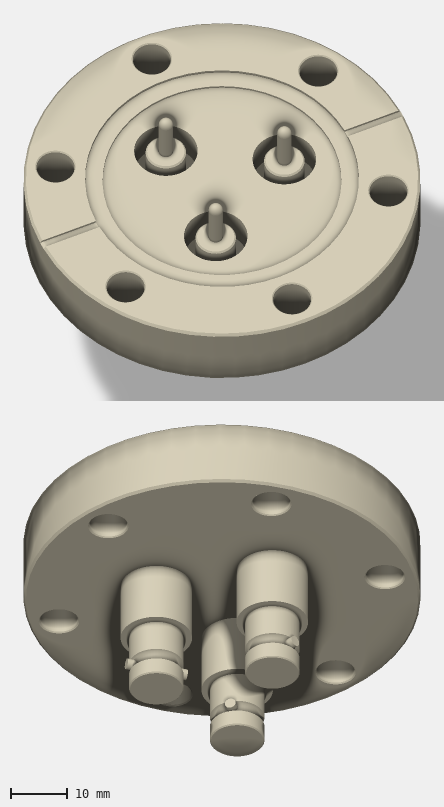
import cadquery as cq


FLANGE_DIAMETER = 69.85
FLANGE_THICKNESS = 12.65
FLANGE_EDGE_CHAMFER = 0.4
RECESS_DIAMETER = 48.2
RECESS_DEPTH = 0.55
FLOOR_DIAMETER = 42.05
FLOOR_STEP = 0.4
FLOOR_DEPTH = RECESS_DEPTH + FLOOR_STEP

BOLT_COUNT = 6
BOLT_CIRCLE_RADIUS = 29.4
BOLT_HOLE_DIAMETER = 6.7
BOLT_HOLE_CHAMFER = 0.2

LEAK_GROOVE_WIDTH = 1.5
LEAK_GROOVE_DEPTH = 0.4

CONNECTOR_COUNT = 3
CONNECTOR_CIRCLE_RADIUS = 12.1
FIRST_CONNECTOR_ANGLE = 90.0

SLEEVE_DIAMETER = 12.6
SLEEVE_LENGTH = 11.2
BARREL_DIAMETER = 9.65
BARREL_LENGTH = 11.1
BARREL_END_CHAMFER = 0.2
BARREL_GROOVE_WIDTH = 2.1
BARREL_GROOVE_DEPTH = 0.8
GROOVE_TO_BARREL_END = 3.1
LUG_DIAMETER = 1.95
LUG_RISE = 0.15
LUG_SPAN = 11.05
SLEEVE_END_Z = -FLANGE_THICKNESS - SLEEVE_LENGTH
BARREL_END_Z = SLEEVE_END_Z - BARREL_LENGTH
GROOVE_CENTRE_Z = BARREL_END_Z + GROOVE_TO_BARREL_END + BARREL_GROOVE_WIDTH / 2
LUG_Z = GROOVE_CENTRE_Z + LUG_RISE

CAVITY_DIAMETER = 11.2
CAVITY_STRAIGHT_DEPTH = 6.3
CAVITY_FLOOR_DIAMETER = 7.8
CAVITY_CONE_HEIGHT = 1.0
INSULATOR_DIAMETER = 7.1
INSULATOR_CHAMFER = 0.3
INSULATOR_DROP = 0.2
PIN_DIAMETER = 2.5
PIN_HEIGHT = 7.75
INSULATOR_TOP_Z = -FLOOR_DEPTH - INSULATOR_DROP
CONE_TOP_Z = -FLOOR_DEPTH - CAVITY_STRAIGHT_DEPTH
CAVITY_FLOOR_Z = CONE_TOP_Z - CAVITY_CONE_HEIGHT


def cylinder(diameter, bottom_z, top_z):
    """Vertical cylinder on the Z axis."""
    return cq.Workplane("XY").workplane(offset=bottom_z).circle(diameter / 2).extrude(top_z - bottom_z)


def revolved(profile):
    """Turn an (r, z) profile drawn in the XZ plane about the Z axis."""
    return profile.close().revolve(360, (0, 0, 0), (0, 1, 0))


def make_flange():
    """Disc with chamfered rims, stepped recess, bolt holes and leak-check grooves."""
    flange = cylinder(FLANGE_DIAMETER, -FLANGE_THICKNESS, 0).edges().chamfer(FLANGE_EDGE_CHAMFER)
    bolt_holes = (
        cq.Workplane("XY")
        .workplane(offset=-FLANGE_THICKNESS)
        .polarArray(BOLT_CIRCLE_RADIUS, 0, 360, BOLT_COUNT)
        .circle(BOLT_HOLE_DIAMETER / 2)
        .extrude(FLANGE_THICKNESS)
    )
    flange = flange.cut(bolt_holes)
    flange = flange.edges(cq.selectors.RadiusNthSelector(0)).chamfer(BOLT_HOLE_CHAMFER)
    leak_grooves = cq.Workplane("XY").rect(LEAK_GROOVE_WIDTH, FLANGE_DIAMETER).extrude(-LEAK_GROOVE_DEPTH)
    flange = flange.cut(leak_grooves)
    flange = flange.cut(cylinder(RECESS_DIAMETER, -RECESS_DEPTH, 0))
    return flange.cut(cylinder(FLOOR_DIAMETER, -FLOOR_DEPTH, 0))


def make_cavity():
    """Round pocket with a conical bottom around the insulator."""
    profile = (
        cq.Workplane("XZ")
        .moveTo(0, 0)
        .lineTo(CAVITY_DIAMETER / 2, 0)
        .lineTo(CAVITY_DIAMETER / 2, CONE_TOP_Z)
        .lineTo(CAVITY_FLOOR_DIAMETER / 2, CAVITY_FLOOR_Z)
        .lineTo(0, CAVITY_FLOOR_Z)
    )
    return revolved(profile)


def make_sleeve_and_barrel():
    """Stepped body below the flange, with a round-bottomed groove near its end."""
    barrel_radius = BARREL_DIAMETER / 2
    groove_top_z = GROOVE_CENTRE_Z + BARREL_GROOVE_WIDTH / 2
    groove_bottom_z = GROOVE_CENTRE_Z - BARREL_GROOVE_WIDTH / 2
    profile = (
        cq.Workplane("XZ")
        .moveTo(0, -FLANGE_THICKNESS)
        .lineTo(SLEEVE_DIAMETER / 2, -FLANGE_THICKNESS)
        .lineTo(SLEEVE_DIAMETER / 2, SLEEVE_END_Z)
        .lineTo(barrel_radius, SLEEVE_END_Z)
        .lineTo(barrel_radius, groove_top_z)
        .threePointArc(
            (barrel_radius - BARREL_GROOVE_DEPTH, GROOVE_CENTRE_Z),
            (barrel_radius, groove_bottom_z),
        )
        .lineTo(barrel_radius, BARREL_END_Z + BARREL_END_CHAMFER)
        .lineTo(barrel_radius - BARREL_END_CHAMFER, BARREL_END_Z)
        .lineTo(0, BARREL_END_Z)
    )
    return revolved(profile)


def make_lugs():
    """Bayonet lugs: one round bar along X across the barrel, just above the groove centre."""
    return (
        cq.Workplane("YZ")
        .center(0, LUG_Z)
        .circle(LUG_DIAMETER / 2)
        .extrude(LUG_SPAN / 2, both=True)
    )


def make_insulator_and_pin():
    """Chamfered insulator standing in the cavity, with a round-ended contact pin."""
    insulator = cylinder(INSULATOR_DIAMETER, CAVITY_FLOOR_Z, INSULATOR_TOP_Z)
    insulator = insulator.faces(">Z").edges().chamfer(INSULATOR_CHAMFER)
    dome_base_z = PIN_HEIGHT - PIN_DIAMETER / 2
    pin = cylinder(PIN_DIAMETER, INSULATOR_TOP_Z, dome_base_z)
    dome = cq.Workplane("XY").sphere(PIN_DIAMETER / 2).translate((0, 0, dome_base_z))
    return insulator.union(pin).union(dome)


def place(shape, angle):
    """Move a connector shape out along X, then swing it round the flange axis."""
    return shape.translate((CONNECTOR_CIRCLE_RADIUS, 0, 0)).rotate((0, 0, 0), (0, 0, 1), angle)


cavity = make_cavity()
body = make_sleeve_and_barrel().union(make_lugs())
contact = make_insulator_and_pin()

result = make_flange()
for index in range(CONNECTOR_COUNT):
    connector_angle = FIRST_CONNECTOR_ANGLE + index * 360 / CONNECTOR_COUNT
    result = result.cut(place(cavity, connector_angle))
    result = result.union(place(body, connector_angle))
    result = result.union(place(contact, connector_angle))